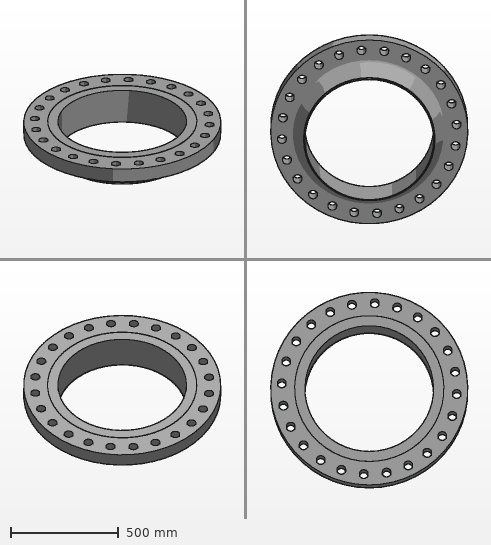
import cadquery as cq

total_height = 168.0
flange_diameter = 914.0
flange_thickness = 68.0
raised_face_diameter = 692.0
raised_face_height = 2.0
bore_diameter = 596.0

hub_diameter = 700.0
weld_end_diameter = 610.0
weld_end_length = 10.0
bevel_width = 5.0
bevel_height = 3.0
hub_fillet_radius = 15.0

bolt_count = 24
bolt_circle_diameter = 813.0
bolt_hole_diameter = 41.0

flange_top = total_height - raised_face_height
flange_bottom = flange_top - flange_thickness


def make_body():
    """Revolve the half section of the flange, hub and bore."""
    bore_radius = bore_diameter / 2
    weld_end_radius = weld_end_diameter / 2
    section = (
        cq.Workplane("XZ")
        .moveTo(bore_radius, 0)
        .lineTo(weld_end_radius - bevel_width, 0)
        .lineTo(weld_end_radius, bevel_height)
        .lineTo(weld_end_radius, weld_end_length)
        .lineTo(hub_diameter / 2, flange_bottom)
        .lineTo(flange_diameter / 2, flange_bottom)
        .lineTo(flange_diameter / 2, flange_top)
        .lineTo(raised_face_diameter / 2, flange_top)
        .lineTo(raised_face_diameter / 2, total_height)
        .lineTo(bore_radius, total_height)
        .close()
    )
    return section.revolve(360, (0, 0, 0), (0, 1, 0))


def round_hub_root(body):
    """Fillet the inside corner between the hub and the flange."""
    root_radius = hub_diameter / 2
    margin = 1.0
    root_edge = cq.selectors.BoxSelector(
        (-root_radius - margin, -root_radius - margin, flange_bottom - margin),
        (root_radius + margin, root_radius + margin, flange_bottom + margin),
        boundingbox=True,
    )
    return body.edges(root_edge).fillet(hub_fillet_radius)


def make_bolt_holes():
    """Cylinders on the bolt circle, through the flange."""
    return (
        cq.Workplane("XY", origin=(0, 0, flange_bottom))
        .polarArray(bolt_circle_diameter / 2, 0, 360, bolt_count)
        .circle(bolt_hole_diameter / 2)
        .extrude(flange_thickness)
    )


result = round_hub_root(make_body()).cut(make_bolt_holes())